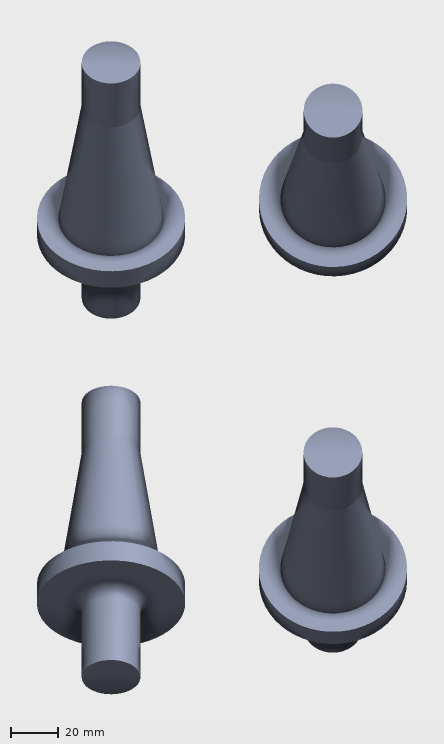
import cadquery as cq

total_height = 143.4
shaft_radius = 25.0 / 2
flange_radius = 63.0 / 2
cone_base_radius = 44.7 / 2
flange_bottom = 38.5
flange_thickness = 10.0
upper_shaft_length = 26.5
fillet_radius = 5.0

flange_top = flange_bottom + flange_thickness
cone_top = total_height - upper_shaft_length

profile = (
    cq.Workplane("XZ")
    .lineTo(shaft_radius, 0)
    .lineTo(shaft_radius, flange_bottom - fillet_radius)
    .radiusArc((shaft_radius + fillet_radius, flange_bottom), fillet_radius)
    .lineTo(flange_radius, flange_bottom)
    .lineTo(flange_radius, flange_top)
    .lineTo(cone_base_radius, flange_top)
    .lineTo(shaft_radius, cone_top)
    .lineTo(shaft_radius, total_height)
    .lineTo(0, total_height)
    .close()
)

result = profile.revolve(360, (0, 0, 0), (0, 1, 0))